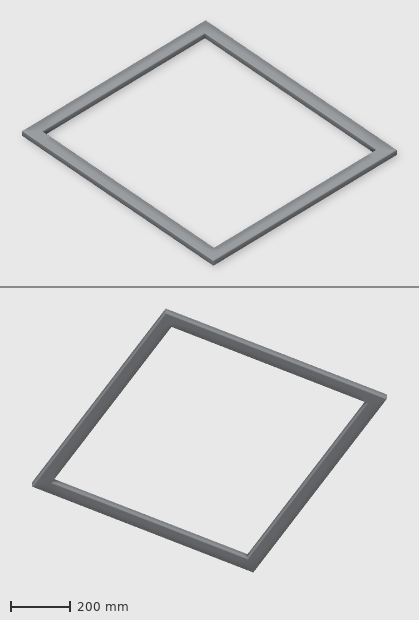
import cadquery as cq

FRAME_LENGTH = 945.0
FRAME_WIDTH = 855.0
BAR_HEIGHT = 25.0
BAR_WIDTH = 50.0
EDGE_RADIUS = 4.0


def mitred_bar(length, outer_distance):
    """Bar along X whose outer side lies at Y = -outer_distance, with 45 degree ends."""
    half_length = length / 2
    blank = (
        cq.Workplane("XY")
        .box(length, BAR_WIDTH, BAR_HEIGHT)
        .edges("|X")
        .fillet(EDGE_RADIUS)
        .translate((0, -outer_distance + BAR_WIDTH / 2, 0))
    )
    mitre_outline = (
        cq.Workplane("XY")
        .moveTo(-half_length, -outer_distance)
        .lineTo(half_length, -outer_distance)
        .lineTo(half_length - BAR_WIDTH, -outer_distance + BAR_WIDTH)
        .lineTo(-half_length + BAR_WIDTH, -outer_distance + BAR_WIDTH)
        .close()
        .extrude(BAR_HEIGHT / 2, both=True)
    )
    return blank.intersect(mitre_outline)


bars = []
for angle in (0, 90, 180, 270):
    if angle % 180 == 0:
        bar = mitred_bar(FRAME_LENGTH, FRAME_WIDTH / 2)
    else:
        bar = mitred_bar(FRAME_WIDTH, FRAME_LENGTH / 2)
    bars.append(bar.rotate((0, 0, 0), (0, 0, 1), angle).val())

result = cq.Compound.makeCompound([solid for bar in bars for solid in bar.Solids()])